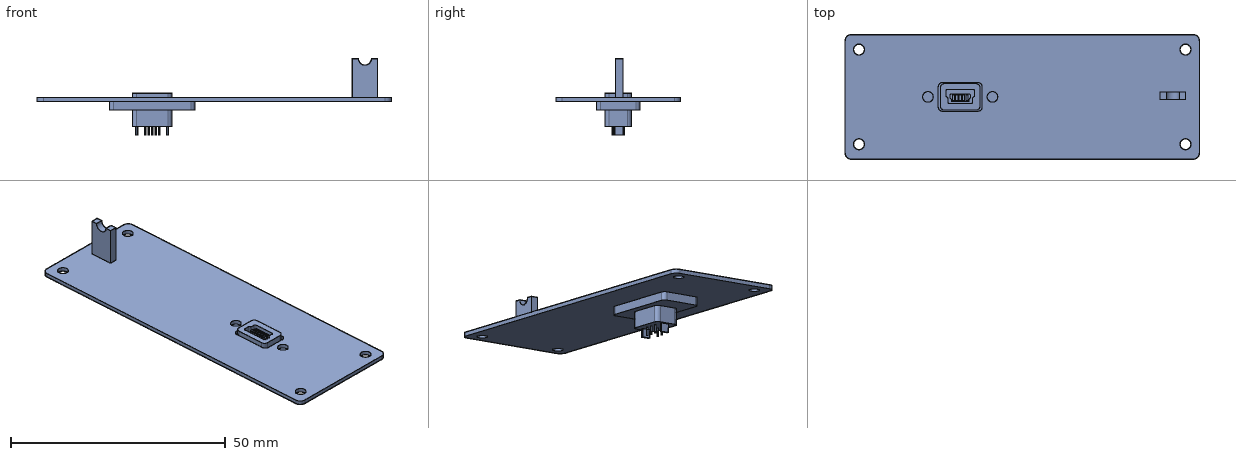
import cadquery as cq

panel_length = 82.5
panel_width = 29.0
overall_height = 17.8
panel_thickness = 1.0
panel_corner_radius = 1.5

hole_diameter = 2.5
mount_hole_spacing_x = 76.0
mount_hole_spacing_y = 22.0
screw_hole_spacing = 15.0

post_x = 35.1
post_y = 0.25
post_width = 5.9
post_thickness = 1.8
post_height = 9.0
notch_radius = post_width / 4

connector_x = -14.4
corner_radius = 1.0
shell_length = 9.2
shell_width = 6.2
shell_rise = 1.0
flange_length = 20.0
flange_width = 10.2
flange_thickness = 2.0

opening_length = 10.2
opening_width = 6.7

socket_top_y = 1.7
socket_width = 6.7
socket_narrow_width = 5.7
socket_height = 3.3
socket_taper_start = 1.6
socket_taper_end = 2.0
socket_corner_radius = 0.3
socket_depth = 4.1

tongue_top_y = 0.7
tongue_width = 4.8
tongue_narrow_width = 4.05
tongue_height = 1.7
tongue_taper_start = 0.8
tongue_taper_end = 1.3
tongue_corner_radius = 0.3
tongue_recess = 0.5
contact_count = 5
contact_pitch = 0.8
slot_width = 0.5
slot_length = 1.2
slot_depth = 1.0

pin_length = 2.0
pin_diameter = 0.35
pin_row_offset = 1.2
tab_spacing = 7.2
tab_thickness = 0.5
tab_width = 2.0
tab_y = 0.2

pin_bottom = panel_thickness + post_height - overall_height
shell_bottom = pin_bottom + pin_length
shell_top = panel_thickness + shell_rise
socket_floor = shell_top - socket_depth
tongue_top = shell_top - tongue_recess


def block(length, width, bottom, top, x=0, y=0):
    """Upright rectangular block centred on (x, y)."""
    return cq.Workplane().box(length, width, top - bottom, (True, True, False)).translate((x, y, bottom))


def rounded_block(length, width, bottom, top, radius, x=0):
    """Block with its four upright edges rounded."""
    return block(length, width, bottom, top, x).edges("|Z").fillet(radius)


def rods(points, diameter, bottom, top):
    """Upright round rods at the given points."""
    return cq.Workplane().workplane(offset=bottom).pushPoints(points).circle(diameter / 2).extrude(top - bottom)


def keyed_block(top_y, width, narrow_width, height, taper_start, taper_end, bottom, top):
    """Upright block with a keyed outline: wide at +Y, tapering to a narrow end at -Y."""
    right_side = [
        (width / 2, top_y),
        (width / 2, top_y - taper_start),
        (narrow_width / 2, top_y - taper_end),
        (narrow_width / 2, top_y - height),
    ]
    left_side = [(-x, y) for x, y in reversed(right_side)]
    outline = cq.Workplane().workplane(offset=bottom).polyline(right_side + left_side).close()
    return outline.extrude(top - bottom).translate((connector_x, 0, 0))


screw_points = [(connector_x + side * screw_hole_spacing / 2, 0) for side in (-1, 1)]
contact_xs = [connector_x + (i - (contact_count - 1) / 2) * contact_pitch for i in range(contact_count)]


def make_post():
    post_top = panel_thickness + post_height
    post = block(post_width, post_thickness, panel_thickness, post_top, post_x, post_y)
    return post.faces(">Y").workplane(origin=(post_x, post_y, post_top)).circle(notch_radius).cutThruAll()


def make_panel():
    panel = rounded_block(panel_length, panel_width, 0, panel_thickness, panel_corner_radius)
    mount_points = [
        (side_x * mount_hole_spacing_x / 2, side_y * mount_hole_spacing_y / 2)
        for side_x in (-1, 1)
        for side_y in (-1, 1)
    ]
    holes = rods(mount_points + screw_points, hole_diameter, 0, panel_thickness)
    opening = rounded_block(opening_length, opening_width, 0, panel_thickness, corner_radius, connector_x)
    return panel.cut(holes).cut(opening).union(make_post())


def make_tongue():
    tongue = keyed_block(
        tongue_top_y, tongue_width, tongue_narrow_width, tongue_height,
        tongue_taper_start, tongue_taper_end, socket_floor, tongue_top,
    ).faces(">Y").edges("|Z").fillet(tongue_corner_radius)
    for x in contact_xs:
        slot_y = tongue_top_y - tongue_height / 2
        tongue = tongue.cut(block(slot_width, slot_length, tongue_top - slot_depth, tongue_top, x, slot_y))
    return tongue


def make_pins():
    """Contact pins, alternating between two rows."""
    points = [(x, pin_row_offset * (-1) ** i) for i, x in enumerate(contact_xs)]
    return rods(points, pin_diameter, pin_bottom, shell_bottom)


def make_connector():
    shell = rounded_block(shell_length, shell_width, shell_bottom, shell_top, corner_radius, connector_x)
    flange = rounded_block(flange_length, flange_width, -flange_thickness, 0, corner_radius, connector_x)
    socket = keyed_block(
        socket_top_y, socket_width, socket_narrow_width, socket_height,
        socket_taper_start, socket_taper_end, socket_floor, shell_top,
    ).edges("|Z").fillet(socket_corner_radius)
    connector = shell.union(flange).cut(socket).union(make_tongue()).union(make_pins())
    for side in (-1, 1):
        tab_x = connector_x + side * tab_spacing / 2
        connector = connector.union(block(tab_thickness, tab_width, pin_bottom, shell_bottom, tab_x, tab_y))
    return connector


panel = make_panel()
connector = make_connector()

result = cq.Compound.makeCompound([panel.solids().val(), connector.solids().val()])